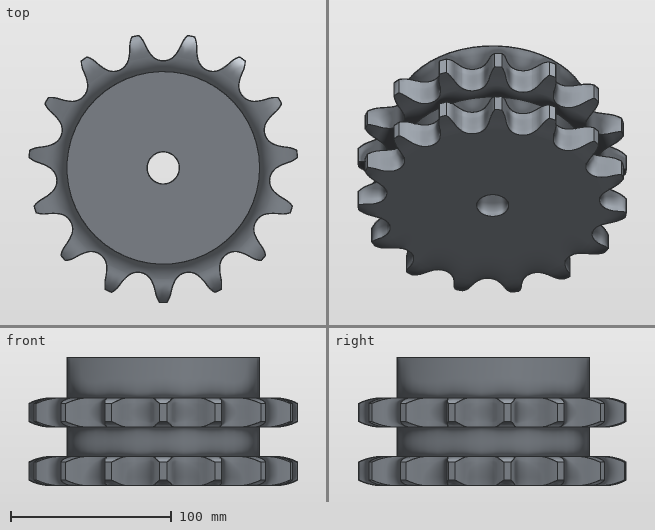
import cadquery as cq
import math


TOOTH_COUNT = 15
TOOTH_STEP = 360 / TOOTH_COUNT
PITCH_RADIUS = 76.3
ROLLER_DIAMETER = 19.0
TIP_DIAMETER = 167.9
TIP_RADIUS = TIP_DIAMETER / 2
FIRST_TOOTH_ANGLE = -90

ROW_WIDTH = 18.2
ROW_SPACING = 36.5
ROW_COUNT = 2
SIDE_ROUNDING_RADIUS = 32.0
SIDE_ROUNDING_DEPTH = 3.5

HUB_DIAMETER = 120.0
BORE_DIAMETER = 20.0
HEIGHT = 80.0

SEAT_RADIUS = 0.5025 * ROLLER_DIAMETER
WORKING_CENTRE_OFFSET = 0.8 * ROLLER_DIAMETER
TOPPING_CENTRE_OFFSET = 1.4 * ROLLER_DIAMETER
SEAT_END_ANGLE = 35 + 60 / TOOTH_COUNT
WORKING_SWEEP = 18 - 56 / TOOTH_COUNT


def polar(radius, angle, centre=(0, 0)):
    """Point at a radius and an angle in degrees from a centre."""
    a = math.radians(angle)
    return (centre[0] + radius * math.cos(a), centre[1] + radius * math.sin(a))


def direction(start, end):
    """Angle in degrees of the line from start to end."""
    return math.degrees(math.atan2(end[1] - start[1], end[0] - start[0]))


def flank_points():
    """Points of the flank on the +Y side of a gap centred on +X, from the seat bottom to the tip.

    The seat, working and topping curves are arcs; a short straight line joins the last two.
    """
    roller = (PITCH_RADIUS, 0)
    root = (PITCH_RADIUS - SEAT_RADIUS, 0)

    seat_end_direction = 90 + SEAT_END_ANGLE
    seat_end = polar(SEAT_RADIUS, seat_end_direction, roller)

    working_centre = polar(WORKING_CENTRE_OFFSET, seat_end_direction + 180, roller)
    working_radius = WORKING_CENTRE_OFFSET + SEAT_RADIUS
    normal = seat_end_direction - WORKING_SWEEP
    working_mid = polar(working_radius, seat_end_direction - WORKING_SWEEP / 2, working_centre)
    working_end = polar(working_radius, normal, working_centre)

    topping_centre = polar(TOPPING_CENTRE_OFFSET, 90 + TOOTH_STEP / 2, roller)
    centre_to_centre = math.dist(working_centre, topping_centre)
    normal_gap = math.radians(direction(working_centre, topping_centre) - normal)
    topping_radius = centre_to_centre * math.cos(normal_gap) - working_radius
    topping_start = polar(topping_radius, normal + 180, topping_centre)

    centre_distance = math.hypot(*topping_centre)
    cosine = (centre_distance**2 + TIP_RADIUS**2 - topping_radius**2) / (2 * centre_distance * TIP_RADIUS)
    tip = polar(TIP_RADIUS, direction((0, 0), topping_centre) - math.degrees(math.acos(cosine)))
    topping_mid_direction = (normal - 180 + direction(topping_centre, tip)) / 2
    topping_mid = polar(topping_radius, topping_mid_direction, topping_centre)

    return [root, seat_end, working_mid, working_end, topping_start, topping_mid, tip]


def turned(point, angle):
    """Point turned about the sprocket axis by an angle in degrees."""
    return polar(math.hypot(*point), direction((0, 0), point) + angle)


def tooth_outline():
    """Closed outline of all teeth, drawn one gap and one tooth tip at a time."""
    flank = flank_points()
    mirrored = [(x, -y) for x, y in flank]
    first_gap = FIRST_TOOTH_ANGLE + TOOTH_STEP / 2
    outline = cq.Workplane("XY").moveTo(*turned(mirrored[-1], first_gap))
    for i in range(TOOTH_COUNT):
        gap = first_gap + i * TOOTH_STEP
        root, seat_end, working_mid, working_end, topping_start, topping_mid, tip = [
            turned(p, gap) for p in flank
        ]
        _, seat_in, working_in_mid, working_in, topping_in, topping_in_mid, _ = [
            turned(p, gap) for p in mirrored
        ]
        next_tip = turned(mirrored[-1], gap + TOOTH_STEP)
        outline = (
            outline.threePointArc(topping_in_mid, topping_in)
            .lineTo(*working_in)
            .threePointArc(working_in_mid, seat_in)
            .threePointArc(root, seat_end)
            .threePointArc(working_mid, working_end)
            .lineTo(*topping_start)
            .threePointArc(topping_mid, tip)
            .threePointArc(polar(TIP_RADIUS, gap + TOOTH_STEP / 2), next_tip)
        )
    return outline.close()


def rounded_disc():
    """Disc whose two faces curve inward towards the tip circle."""
    drop_to_centre = SIDE_ROUNDING_RADIUS - SIDE_ROUNDING_DEPTH
    start_radius = TIP_RADIUS - math.sqrt(SIDE_ROUNDING_RADIUS**2 - drop_to_centre**2)
    mid_angle = math.degrees(math.acos(drop_to_centre / SIDE_ROUNDING_RADIUS)) / 2
    lower_mid = polar(SIDE_ROUNDING_RADIUS, mid_angle - 90, (start_radius, SIDE_ROUNDING_RADIUS))
    upper_mid = (lower_mid[0], ROW_WIDTH - lower_mid[1])
    return (
        cq.Workplane("XZ")
        .lineTo(start_radius, 0)
        .threePointArc(lower_mid, (TIP_RADIUS, SIDE_ROUNDING_DEPTH))
        .lineTo(TIP_RADIUS, ROW_WIDTH - SIDE_ROUNDING_DEPTH)
        .threePointArc(upper_mid, (start_radius, ROW_WIDTH))
        .lineTo(0, ROW_WIDTH)
        .close()
        .revolve(360, (0, 0, 0), (0, 1, 0))
    )


toothed_row = tooth_outline().extrude(ROW_WIDTH).intersect(rounded_disc())

sprocket = cq.Workplane("XY").circle(HUB_DIAMETER / 2).extrude(HEIGHT)
for row in range(ROW_COUNT):
    sprocket = sprocket.union(toothed_row.translate((0, 0, row * ROW_SPACING)))

bore = cq.Workplane("XY").circle(BORE_DIAMETER / 2).extrude(HEIGHT)
result = sprocket.cut(bore)